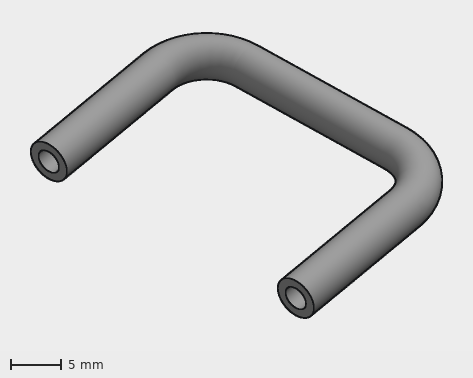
import cadquery as cq
import math

overall_width = 36.45
overall_depth = 25.75
rod_diameter = 4.65
bend_radius = 6.3
hole_diameter = 2.62
hole_depth = 10.0
drill_tip_angle = 118.0

rod_radius = rod_diameter / 2
hole_radius = hole_diameter / 2
leg_x = overall_width / 2 - rod_radius
grip_y = overall_depth - rod_radius
leg_length = grip_y - bend_radius
grip_half_length = leg_x - bend_radius
tip_depth = hole_radius / math.tan(math.radians(drill_tip_angle / 2))
bend_mid_offset = bend_radius * math.sin(math.radians(45))


def make_handle():
    """Round rod swept along a U: leg, bend, grip, bend, leg."""
    bend_mid_x = grip_half_length + bend_mid_offset
    bend_mid_y = leg_length + bend_mid_offset
    centreline = (
        cq.Workplane("XY")
        .moveTo(-leg_x, 0)
        .lineTo(-leg_x, leg_length)
        .threePointArc((-bend_mid_x, bend_mid_y), (-grip_half_length, grip_y))
        .lineTo(grip_half_length, grip_y)
        .threePointArc((bend_mid_x, bend_mid_y), (leg_x, leg_length))
        .lineTo(leg_x, 0)
    )
    return cq.Workplane("XZ", origin=(-leg_x, 0, 0)).circle(rod_radius).sweep(centreline)


def make_blind_hole(x):
    """Drilled hole with a conical bottom, running along +Y from the leg end."""
    return (
        cq.Workplane("XY", origin=(x, 0, 0))
        .lineTo(hole_radius, 0)
        .lineTo(hole_radius, hole_depth)
        .lineTo(0, hole_depth + tip_depth)
        .close()
        .revolve(360, (0, 0), (0, 1))
    )


result = make_handle()
for hole_x in (-leg_x, leg_x):
    result = result.cut(make_blind_hole(hole_x))